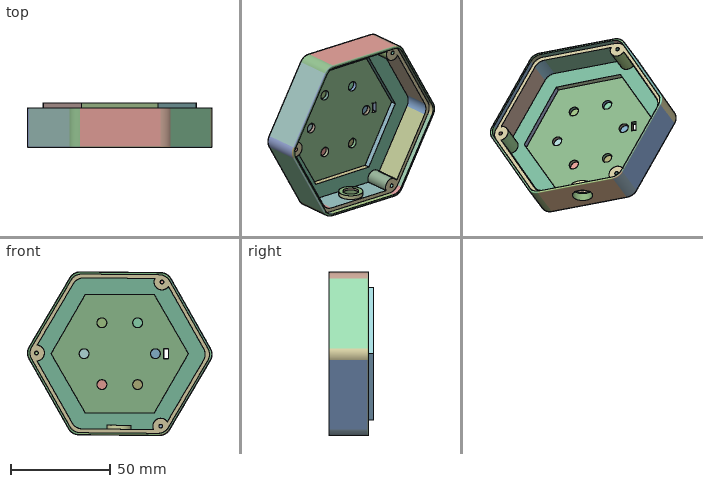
import cadquery as cq
import math


body_depth = 20.0
body_corner_radius = 47.5
corner_round = 6.0
edge_round = 0.5
body_turn = 0.5

cavity_corner_radius = 44.0
back_wall = 3.0
cavity_floor = body_depth - back_wall
lid_seat_corner_radius = 46.2
lid_seat_depth = 3.0

plate_thickness = 2.5
plate_across_flats = 67.0
recess_across_flats = 60.0
recess_depth = 3.0
recess_floor = cavity_floor + recess_depth
plate_back = body_depth + plate_thickness

post_diameter = 8.0
post_circle_radius = 42.0
post_angles = (60, 180, 300)
screw_hole_diameter = 1.85
screw_hole_depth = 10.0
screw_tip_angle = 118.0

pocket_diameter = 4.95
pocket_circle_radius = 18.0
pocket_count = 6
pocket_depth = 2.0

slot_width = 2.3
slot_height = 5.0
slot_center_x = 23.4

collar_diameter = 12.2
collar_height = 2.0
collar_center_y = 10.0
bore_diameter = 10.2
lip_opening_diameter = 8.0
lip_thickness = 1.0

FLAT_RATIO = math.cos(math.radians(30))


def plane_at(y):
    """XZ plane at depth y, with local x along +X, local y along +Z and normal -Y."""
    return cq.Workplane("XZ", origin=(0, y, 0))


def hex_prism(corner_radius, y_front, y_back):
    """Hexagonal prism with two corners on the X axis."""
    return plane_at(y_front).polygon(6, 2 * corner_radius).extrude(y_front - y_back)


def rounded_hex_prism(corner_radius, rounding, y_front, y_back):
    """Hexagonal prism with its six long edges rounded."""
    return hex_prism(corner_radius, y_front, y_back).edges("|Y").fillet(rounding)


def cylinders(points, diameter, y_front, y_back):
    """Cylinders along Y at the given (x, z) points."""
    return plane_at(y_front).pushPoints(points).circle(diameter / 2).extrude(y_front - y_back)


def ring_points(radius, angles):
    """Points (x, z) on a circle about the Y axis."""
    return [
        (radius * math.cos(math.radians(a)), radius * math.sin(math.radians(a)))
        for a in angles
    ]


def upright_cylinder(diameter, z_bottom, z_top):
    """Cylinder along Z on the axis of the side-wall hole."""
    base = cq.Workplane("XY", origin=(0, collar_center_y, z_bottom))
    return base.circle(diameter / 2).extrude(z_top - z_bottom)


def make_shell():
    """Rounded hexagonal tray with the main cavity and the lid seat."""
    outer = rounded_hex_prism(body_corner_radius, corner_round, 0, body_depth)
    outer = outer.faces("<Y or >Y").edges().fillet(edge_round)
    cavity = rounded_hex_prism(cavity_corner_radius, corner_round, 0, cavity_floor)
    lid_seat = rounded_hex_prism(lid_seat_corner_radius, corner_round, 0, lid_seat_depth)
    return outer.cut(cavity).cut(lid_seat)


def screw_hole():
    """Blind hole along +Y from the origin, ending in a drilled cone."""
    radius = screw_hole_diameter / 2
    tip_length = radius / math.tan(math.radians(screw_tip_angle / 2))
    half_section = (
        cq.Workplane("XY")
        .lineTo(radius, 0)
        .lineTo(radius, screw_hole_depth)
        .lineTo(0, screw_hole_depth + tip_length)
        .close()
    )
    return half_section.revolve(360, (0, 0, 0), (0, 1, 0))


def add_screw_posts(body):
    """Posts from the cavity floor up to the lid seat, kept inside the outer wall."""
    points = ring_points(post_circle_radius, post_angles)
    posts = cylinders(points, post_diameter, lid_seat_depth, body_depth - edge_round)
    inside = rounded_hex_prism(
        lid_seat_corner_radius, corner_round, lid_seat_depth, body_depth - edge_round
    )
    body = body.union(posts.intersect(inside))
    for x, z in points:
        body = body.cut(screw_hole().translate((x, lid_seat_depth, z)))
    return body


def add_side_hole(body):
    """Collar inside the lower wall, bored from outside up to a thin lip."""
    outer_z = -body_corner_radius * FLAT_RATIO
    wall_inner_z = -cavity_corner_radius * FLAT_RATIO
    collar_top = wall_inner_z + collar_height
    wall_middle_z = (outer_z + wall_inner_z) / 2
    collar = upright_cylinder(collar_diameter, wall_middle_z, collar_top)
    bore = upright_cylinder(bore_diameter, outer_z, collar_top - lip_thickness)
    lip_opening = upright_cylinder(lip_opening_diameter, outer_z, collar_top)
    return body.union(collar).cut(bore).cut(lip_opening)


def add_back_plate(body):
    """Plate on the back, hollowed by the recess in the cavity floor."""
    plate_corner_radius = plate_across_flats / 2 / FLAT_RATIO
    recess_corner_radius = recess_across_flats / 2 / FLAT_RATIO
    plate = hex_prism(plate_corner_radius, body_depth, plate_back)
    recess = hex_prism(recess_corner_radius, cavity_floor, recess_floor)
    return body.union(plate).cut(recess)


def cut_pockets(body):
    """Ring of blind round pockets in the recess floor."""
    angles = [i * 360 / pocket_count for i in range(pocket_count)]
    points = ring_points(pocket_circle_radius, angles)
    return body.cut(cylinders(points, pocket_diameter, recess_floor, recess_floor + pocket_depth))


def cut_slot(body):
    """Rectangular slot through the back."""
    slot = plane_at(recess_floor).center(slot_center_x, 0).rect(slot_width, slot_height)
    return body.cut(slot.extrude(recess_floor - plate_back))


body = make_shell()
body = add_screw_posts(body)
body = add_side_hole(body)
body = body.rotate((0, 0, 0), (0, 1, 0), body_turn)
body = add_back_plate(body)
body = cut_pockets(body)
result = cut_slot(body)